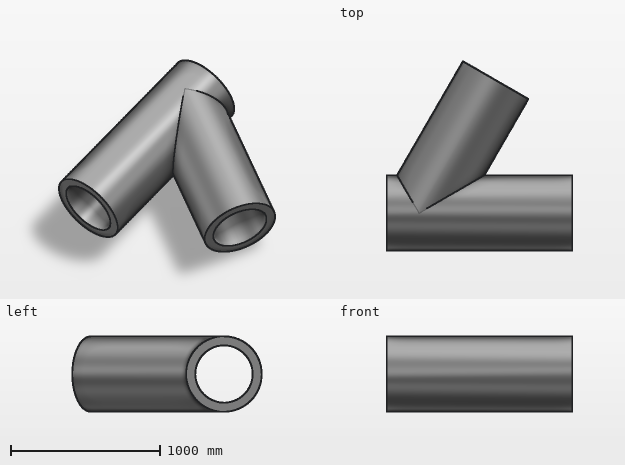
import cadquery as cq
import math

outer_diameter = 507.0
bore_diameter = 383.0
run_length = 1245.0
total_width = 1272.0
branch_angle = 60.0
junction_offset = 216.0

outer_radius = outer_diameter / 2
angle = math.radians(branch_angle)
branch_reach = total_width - outer_radius
branch_length = (branch_reach - outer_radius * math.cos(angle)) / math.sin(angle)


def run_cylinder(diameter, overrun=0):
    """Cylinder on the run axis, longer by overrun at each end; the axes cross at the origin."""
    start = cq.Vector(-junction_offset - overrun, 0, 0)
    length = run_length + 2 * overrun
    return cq.Workplane(cq.Solid.makeCylinder(diameter / 2, length, start, cq.Vector(1, 0, 0)))


def branch_cylinder(diameter):
    """Cylinder from the crossing of the axes to the open branch end."""
    direction = cq.Vector(math.cos(angle), math.sin(angle), 0)
    return cq.Workplane(cq.Solid.makeCylinder(diameter / 2, branch_length, cq.Vector(), direction))


body = run_cylinder(outer_diameter).union(branch_cylinder(outer_diameter))

result = body.cut(run_cylinder(bore_diameter, outer_radius)).cut(branch_cylinder(bore_diameter))